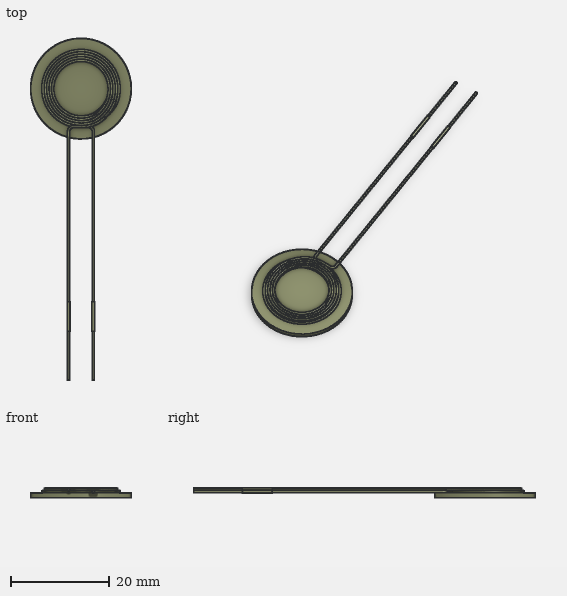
import cadquery as cq
import math

disc_diameter = 20.5
total_length = 69.5
total_height = 2.1

wire_diameter = 0.48
sleeve_diameter = 0.64
sleeve_length = 6.05
bare_end_length = 9.95

turn_pitch = 0.5
lower_turns = 5
coil_outer_diameter = 16.0
lead_x = 2.5
lead_bend_radius = 0.9

outer_turn_radius = (coil_outer_diameter - wire_diameter) / 2
upper_z = total_height - sleeve_diameter / 2
lower_z = upper_z - turn_pitch
disc_thickness = lower_z - wire_diameter / 2
lead_end_y = disc_diameter / 2 - total_length
sleeve_start_y = lead_end_y + bare_end_length
bend_start_x = lead_x - lead_bend_radius
bend_end_y = -outer_turn_radius - lead_bend_radius
turn_radii = [outer_turn_radius - i * turn_pitch for i in range(lower_turns)]


def round_turn(radius, z):
    """Clockwise three-quarter turn from -Y through -X and +Y to +X."""
    middle = radius * math.sqrt(0.5)
    return cq.Edge.makeThreePointArc(
        cq.Vector(0, -radius, z),
        cq.Vector(-middle, middle, z),
        cq.Vector(radius, 0, z),
    )


def step_turn(start_radius, end_radius, start_z, end_z):
    """Clockwise quarter turn from +X to -Y that steps to the next turn or layer."""
    middle = (start_radius + end_radius) / 2 * math.sqrt(0.5)
    return cq.Edge.makeSpline(
        [
            cq.Vector(start_radius, 0, start_z),
            cq.Vector(middle, -middle, (start_z + end_z) / 2),
            cq.Vector(0, -end_radius, end_z),
        ],
        tangents=[cq.Vector(0, -1, 0), cq.Vector(-1, 0, 0)],
    )


def lead_edges(side, z):
    """Centre line of a lead from the outer turn to its free end; side is -1 or +1 along X."""
    diagonal = lead_bend_radius * math.sqrt(0.5)
    turn_off = cq.Vector(0, -outer_turn_radius, z)
    bend_start = cq.Vector(side * bend_start_x, -outer_turn_radius, z)
    bend_middle = cq.Vector(side * (bend_start_x + diagonal), bend_end_y + diagonal, z)
    bend_end = cq.Vector(side * lead_x, bend_end_y, z)
    free_end = cq.Vector(side * lead_x, lead_end_y, z)
    return [
        cq.Edge.makeLine(turn_off, bend_start),
        cq.Edge.makeThreePointArc(bend_start, bend_middle, bend_end),
        cq.Edge.makeLine(bend_end, free_end),
    ]


def winding_edges():
    """Centre line of both layers: inward on the lower layer, outward on the upper one."""
    edges = []
    for radius, next_radius in zip(turn_radii, turn_radii[1:]):
        edges.append(round_turn(radius, lower_z))
        edges.append(step_turn(radius, next_radius, lower_z, lower_z))
    inner_radius = turn_radii[-1]
    edges.append(round_turn(inner_radius, lower_z))
    edges.append(step_turn(inner_radius, inner_radius, lower_z, upper_z))
    outward_radii = turn_radii[::-1]
    for radius, next_radius in zip(outward_radii, outward_radii[1:]):
        edges.append(round_turn(radius, upper_z))
        edges.append(step_turn(radius, next_radius, upper_z, upper_z))
    return edges


def lead_sleeve(side, z):
    """Thicker round length near the free end of a lead."""
    plane = cq.Plane(origin=(side * lead_x, sleeve_start_y, z), xDir=(1, 0, 0), normal=(0, 1, 0))
    return cq.Workplane(plane).circle(sleeve_diameter / 2).extrude(sleeve_length)


def make_disc():
    """Flat round plate under the coil."""
    return cq.Workplane("XY").circle(disc_diameter / 2).extrude(disc_thickness)


def make_coil():
    """One continuous round wire: right lead, two-layer winding and left lead."""
    edges = lead_edges(1, lower_z) + winding_edges() + lead_edges(-1, upper_z)
    centre_line = cq.Wire.assembleEdges(edges)
    end_plane = cq.Plane(origin=(lead_x, lead_end_y, lower_z), xDir=(1, 0, 0), normal=(0, 1, 0))
    wire = cq.Workplane(end_plane).circle(wire_diameter / 2).sweep(cq.Workplane(centre_line))
    return wire.union(lead_sleeve(1, lower_z)).union(lead_sleeve(-1, upper_z))


disc = make_disc()
coil = make_coil()

result = cq.Compound.makeCompound([disc.val(), coil.val()])